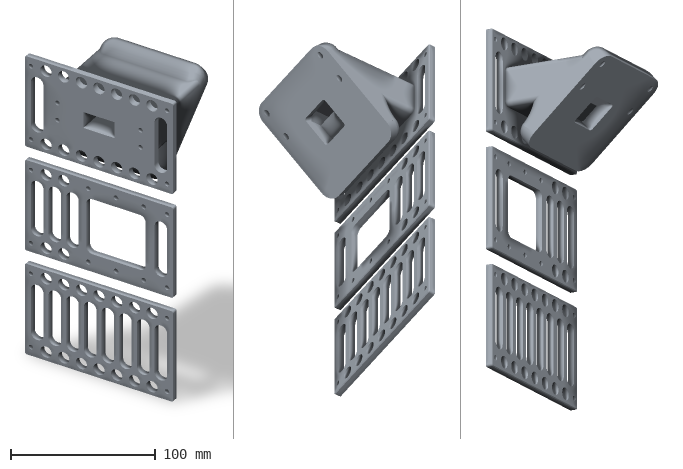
import cadquery as cq
import math

plate_width = 120.0
plate_height = 74.0
plate_thickness = 5.0
plate_pitch = 85.0
plate_corner_radius = 1.5
back_chamfer = 0.6

row_z = 30.0
corner_hole_x = 55.0
small_hole_diameter = 3.6
large_hole_diameter = 9.0

slot_width = 10.0
slot_length = 45.0
slot_count = 8
first_slot_x = -50.0
slot_pitch = -2 * first_slot_x / (slot_count - 1)
slot_xs = [first_slot_x + i * slot_pitch for i in range(slot_count)]
large_hole_xs = [x + slot_pitch / 2 for x in slot_xs[:-1]]

opening_plate_left_slots = 3
opening_x = 13.75
opening_width = 48.0
opening_height = slot_length
opening_corner_radius = 5.0
opening_hole_diameter = 3.8
opening_hole_pitch = 22.4

arm_width = 82.0
arm_height = 28.5
arm_corner_radius = 3.5
arm_end_y = 66.0
arm_joint_y = 10.0

pad_length = 85.0
pad_tilt = 41.5
pad_wall_height = 8.0
pad_edge_radius = 7.0
pad_thickness = pad_wall_height + pad_edge_radius
pad_corner_radius = 10.0
pad_top_y = 83.51
pad_top_z = 12.2

upper_blend_radius = 20.0
lower_blend_radius = 28.0
web_inset = 7.5
web_edge_radius = 7.2
web_root_height = pad_wall_height / 2

channel_width = 25.4
channel_height = 13.0
channel_end_y = 55.0
pocket_size = 24.0
pocket_depth = 10.0
pocket_corner_radius = 2.0
screw_hole_x = 33.6
screw_hole_z = 7.0

cos_tilt = math.cos(math.radians(pad_tilt))
sin_tilt = math.sin(math.radians(pad_tilt))
pad_normal = cq.Vector(0, -sin_tilt, cos_tilt)


def pad_point(along, height):
    """(Y, Z) of a point `along` the mounting face from its upper end, at a `height` inward from it."""
    y = pad_top_y - along * cos_tilt - height * sin_tilt
    z = pad_top_z - along * sin_tilt + height * cos_tilt
    return (y, z)


def facing_front(y=0.0, z=0.0):
    """Workplane with local axes X and Z; a negative extrusion goes toward +Y."""
    return cq.Workplane("XZ", origin=(0, y, z))


def mounting_plane():
    """Workplane centred on the mounting face, with local Z pointing into the pad."""
    centre_y, centre_z = pad_point(pad_length / 2, 0)
    return cq.Workplane(
        cq.Plane(origin=(0, centre_y, centre_z), xDir=(1, 0, 0), normal=pad_normal)
    )


def round_holes(points, diameter, depth, z=0.0):
    return facing_front(z=z).pushPoints(points).circle(diameter / 2).extrude(-depth)


def blank_plate(z):
    """Plate with rounded corners, a chamfered back edge and a small hole in each corner."""
    plate = (
        facing_front(z=z)
        .rect(plate_width, plate_height)
        .extrude(-plate_thickness)
        .edges("|Y")
        .fillet(plate_corner_radius)
        .faces(">Y")
        .edges()
        .chamfer(back_chamfer)
    )
    corners = [(x, row) for x in (-corner_hole_x, corner_hole_x) for row in (-row_z, row_z)]
    return plate.cut(round_holes(corners, small_hole_diameter, plate_thickness, z))


def cut_slots(plate, xs, z):
    slots = (
        facing_front(z=z)
        .pushPoints([(x, 0) for x in xs])
        .slot2D(slot_length, slot_width, 90)
        .extrude(-plate_thickness)
    )
    return plate.cut(slots)


def cut_large_holes(plate, xs, z):
    points = [(x, row) for x in xs for row in (-row_z, row_z)]
    return plate.cut(round_holes(points, large_hole_diameter, plate_thickness, z))


def arm_length(start_y, end_y):
    """Stretch of the arm's rounded rectangular bar."""
    return (
        facing_front(start_y)
        .rect(arm_width, arm_height)
        .extrude(start_y - end_y)
        .edges("|Y")
        .fillet(arm_corner_radius)
    )


def cut_passage(body):
    """Cuts the cable channel and the four screw holes, which run along Y."""
    channel = facing_front().rect(channel_width, channel_height).extrude(-channel_end_y)
    screw_points = [(x, z) for x in (-screw_hole_x, screw_hole_x) for z in (-screw_hole_z, screw_hole_z)]
    return body.cut(channel).cut(round_holes(screw_points, small_hole_diameter, pad_top_y))


def make_bracket_plate():
    plate = blank_plate(0)
    plate = cut_slots(plate, [slot_xs[0], slot_xs[-1]], 0)
    plate = cut_large_holes(plate, large_hole_xs, 0)
    plate = plate.union(arm_length(plate_thickness, arm_joint_y))
    return cut_passage(plate)


def make_opening_plate(z):
    plate = blank_plate(z)
    plate = cut_slots(plate, slot_xs[:opening_plate_left_slots] + slot_xs[-1:], z)
    plate = cut_large_holes(plate, large_hole_xs[: opening_plate_left_slots - 1], z)
    opening = (
        facing_front(z=z)
        .center(opening_x, 0)
        .rect(opening_width, opening_height)
        .extrude(-plate_thickness)
        .edges("|Y")
        .fillet(opening_corner_radius)
    )
    points = [(opening_x + i * opening_hole_pitch, row) for i in (-1, 0, 1) for row in (-row_z, row_z)]
    return plate.cut(opening).cut(round_holes(points, opening_hole_diameter, plate_thickness, z))


def make_slotted_plate(z):
    plate = blank_plate(z)
    plate = cut_slots(plate, slot_xs, z)
    return cut_large_holes(plate, large_hole_xs, z)


def pad_block(thickness):
    """Block over the mounting face with the pad's rounded corners."""
    return (
        mounting_plane()
        .rect(arm_width, pad_length)
        .extrude(thickness)
        .edges(cq.selectors.ParallelDirSelector(pad_normal))
        .fillet(pad_corner_radius)
    )


def make_pad():
    inner_face = cq.selectors.DirectionMinMaxSelector(pad_normal)
    return pad_block(pad_thickness).faces(inner_face).edges().fillet(pad_edge_radius)


def blend_arc(along, radius, start_angle, end_angle):
    """Start, middle and end of a concave arc that leaves the pad's inner face tangentially.

    The arc starts `along` the inner face; the angles (degrees) point from its centre to its ends.
    """
    start = pad_point(along, pad_thickness)

    def at(angle):
        turn = math.radians(angle)
        start_turn = math.radians(start_angle)
        y = start[0] + radius * (math.cos(turn) - math.cos(start_turn))
        z = start[1] + radius * (math.sin(turn) - math.sin(start_turn))
        return (y, z)

    return at(start_angle), at((start_angle + end_angle) / 2), at(end_angle)


def make_web():
    """Blends the pad into the arm; both arcs end inside the arm, the upper one level, the lower upright."""
    inner_face_angle = pad_tilt - 90
    upper = blend_arc(web_inset, upper_blend_radius, inner_face_angle, -90)
    lower = blend_arc(pad_length - web_inset, lower_blend_radius, inner_face_angle, 0)
    profile = (
        cq.Workplane("YZ", origin=(-arm_width / 2, 0, 0))
        .moveTo(*upper[0])
        .threePointArc(*upper[1:])
        .lineTo(lower[2][0], upper[2][1])
        .lineTo(*lower[2])
        .threePointArc(lower[1], lower[0])
        .lineTo(*pad_point(pad_length - pad_corner_radius, web_root_height))
        .lineTo(*pad_point(pad_corner_radius, web_root_height))
        .close()
    )
    return profile.extrude(arm_width).edges("%CIRCLE").edges("not |X").fillet(web_edge_radius)


def cut_below_mounting_face(body):
    """Removes what reaches past the mounting face."""
    waste = mounting_plane().rect(2 * pad_length, 2 * pad_length).extrude(-pad_length)
    return body.cut(waste)


def make_bracket():
    arm = cut_below_mounting_face(arm_length(arm_joint_y, arm_end_y))
    bracket = arm.union(make_pad()).union(make_web())
    pocket = (
        mounting_plane()
        .rect(pocket_size, pocket_size)
        .extrude(pocket_depth)
        .edges(cq.selectors.ParallelDirSelector(pad_normal))
        .fillet(pocket_corner_radius)
    )
    return cut_passage(bracket.cut(pocket))


bracket_plate = make_bracket_plate()
opening_plate = make_opening_plate(-plate_pitch)
slotted_plate = make_slotted_plate(-2 * plate_pitch)
bracket = make_bracket()

result = cq.Compound.makeCompound(
    [bracket_plate.val(), opening_plate.val(), slotted_plate.val(), bracket.val()]
)